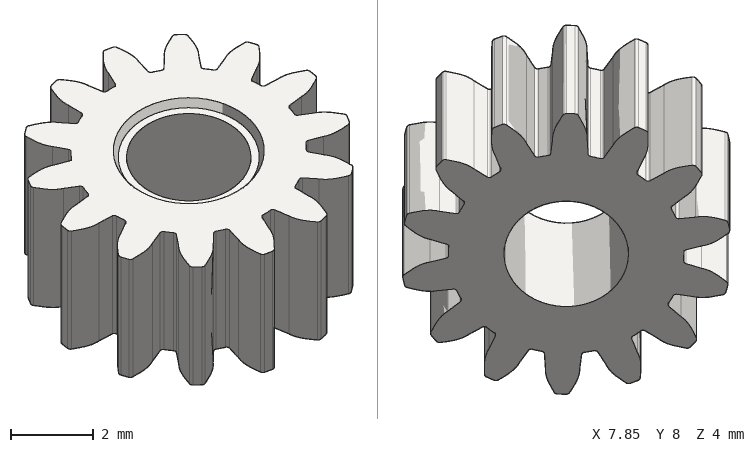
import cadquery as cq
import math

MODULE = 0.5
TEETH = 14
PRESSURE_ANGLE = math.radians(20)
FACE_WIDTH = 4.0

PITCH_RADIUS = MODULE * TEETH / 2
TIP_RADIUS = PITCH_RADIUS + MODULE
BASE_RADIUS = PITCH_RADIUS * math.cos(PRESSURE_ANGLE)
ROOT_RADIUS = 2.84
ROOT_HALF_WIDTH = 0.455
TIP_FILLET = 0.1
ROOT_FILLET = 0.08
TOOTH_PITCH = 2 * math.pi / TEETH
FIRST_TOOTH_ANGLE = math.pi / 2

BORE_RADIUS = 1.5
RECESS_TOP_RADIUS = 1.82
RECESS_FLOOR_RADIUS = 1.7
RECESS_DEPTH = 0.22

FLANK_POINTS = 4
EDGE_TOLERANCE = 1e-3


def polar(radius, angle):
    return (radius * math.cos(angle), radius * math.sin(angle))


def involute_function(angle):
    return math.tan(angle) - angle


def tooth_half_angle(radius):
    """Angle from the tooth centre line to the involute flank at a radius."""
    local_pressure_angle = math.acos(min(1.0, BASE_RADIUS / radius))
    half_angle_at_base = TOOTH_PITCH / 4 + involute_function(PRESSURE_ANGLE)
    return half_angle_at_base - involute_function(local_pressure_angle)


def flank(centre_angle, side):
    """Involute points from the base circle to the tip circle; side is -1 or +1."""
    points = []
    for i in range(FLANK_POINTS):
        radius = BASE_RADIUS + (TIP_RADIUS - BASE_RADIUS) * (i / (FLANK_POINTS - 1)) ** 2
        points.append(polar(radius, centre_angle + side * tooth_half_angle(radius)))
    return points


def gear_outline():
    root_half_angle = math.asin(ROOT_HALF_WIDTH / ROOT_RADIUS)
    outline = cq.Workplane("XY").moveTo(*polar(ROOT_RADIUS, FIRST_TOOTH_ANGLE - root_half_angle))
    for i in range(TEETH):
        centre = FIRST_TOOTH_ANGLE + i * TOOTH_PITCH
        rising = flank(centre, -1)
        falling = flank(centre, 1)[::-1]
        outline = outline.lineTo(*rising[0]).spline(rising[1:], includeCurrent=True)
        outline = outline.threePointArc(polar(TIP_RADIUS, centre), falling[0])
        outline = outline.spline(falling[1:], includeCurrent=True)
        outline = outline.lineTo(*polar(ROOT_RADIUS, centre + root_half_angle))
        outline = outline.threePointArc(
            polar(ROOT_RADIUS, centre + TOOTH_PITCH / 2),
            polar(ROOT_RADIUS, centre + TOOTH_PITCH - root_half_angle),
        )
    return outline.close()


def fillet_edges_at(body, radius, fillet):
    """Round the upright edges that lie at a given distance from the axis."""
    edges = body.edges("|Z").filter(
        lambda edge: abs(math.hypot(edge.Center().x, edge.Center().y) - radius) < EDGE_TOLERANCE
    )
    return edges.fillet(fillet)


def bore_cutter():
    recess_floor = FACE_WIDTH - RECESS_DEPTH
    profile = [
        (0, 0),
        (BORE_RADIUS, 0),
        (BORE_RADIUS, recess_floor),
        (RECESS_FLOOR_RADIUS, recess_floor),
        (RECESS_TOP_RADIUS, FACE_WIDTH),
        (0, FACE_WIDTH),
    ]
    return cq.Workplane("XZ").polyline(profile).close().revolve(360, (0, 0), (0, 1))


gear = gear_outline().extrude(FACE_WIDTH)
gear = fillet_edges_at(gear, TIP_RADIUS, TIP_FILLET)
gear = fillet_edges_at(gear, ROOT_RADIUS, ROOT_FILLET)
result = gear.cut(bore_cutter())